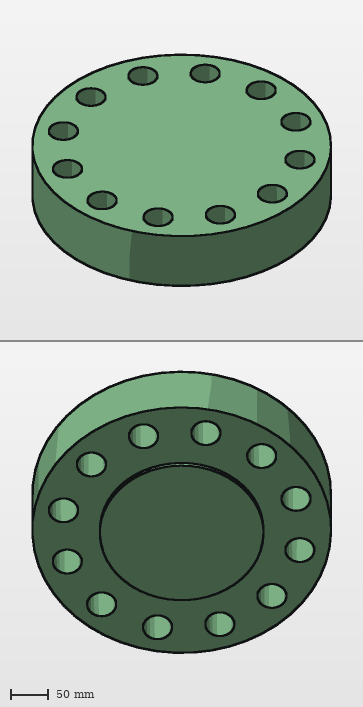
import cadquery as cq

flange_diameter = 393.5
total_height = 89.0
raised_face_diameter = 215.5
raised_face_height = 6.3
bolt_circle_diameter = 317.5
bolt_hole_diameter = 38.0
bolt_count = 12

flange_thickness = total_height - raised_face_height


def make_flange_disc():
    """Disc standing on the XY plane."""
    return cq.Workplane("XY").circle(flange_diameter / 2).extrude(flange_thickness)


def make_raised_face():
    """Sealing face projecting below the disc."""
    return cq.Workplane("XY").circle(raised_face_diameter / 2).extrude(-raised_face_height)


def make_bolt_holes():
    """Through-hole cutters evenly spaced on the bolt circle, the first on +X."""
    return (
        cq.Workplane("XY")
        .polarArray(bolt_circle_diameter / 2, 0, 360, bolt_count)
        .circle(bolt_hole_diameter / 2)
        .extrude(flange_thickness)
    )


result = make_flange_disc().union(make_raised_face()).cut(make_bolt_holes())